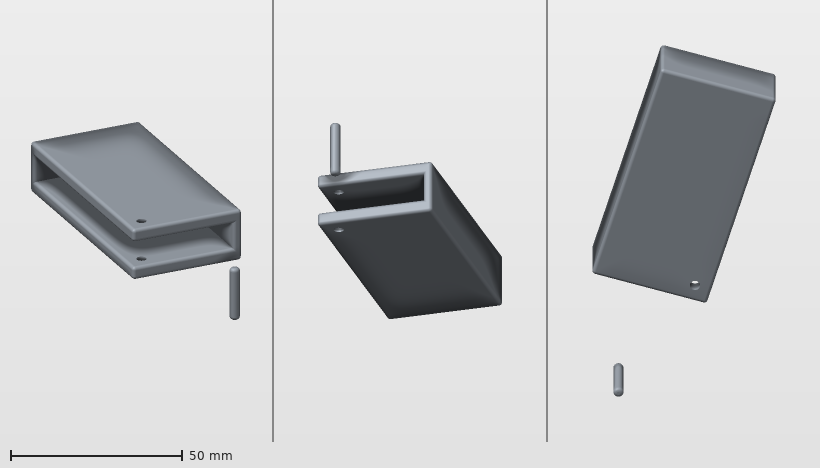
import cadquery as cq


OVERALL_LENGTH = 107.6
CASE_LENGTH = 71.0
CASE_WIDTH = 35.1
CASE_HEIGHT = 16.0
PLATE_THICKNESS = 4.0
WALL_THICKNESS = 2.7
EDGE_RADIUS = 1.0
PIN_DIAMETER = 3.0
HOLE_INSET = 5.1
PIN_LENGTH = 16.5
PIN_AXIS_Y = 16.4
PIN_DROP = 1.3

HOLE_AXIS_X = CASE_LENGTH - HOLE_INSET
HOLE_AXIS_Y = HOLE_INSET
PIN_AXIS_X = OVERALL_LENGTH - PIN_DIAMETER / 2


def make_case():
    """Round-edged case, open along its front side and one end, with pin holes in both plates."""
    case = cq.Workplane("XY").box(CASE_LENGTH, CASE_WIDTH, CASE_HEIGHT, centered=False)

    cavity = cq.Workplane("XY", origin=(WALL_THICKNESS, 0, PLATE_THICKNESS)).box(
        CASE_LENGTH - WALL_THICKNESS,
        CASE_WIDTH - WALL_THICKNESS,
        CASE_HEIGHT - 2 * PLATE_THICKNESS,
        centered=False,
    )
    case = case.cut(cavity)

    outer_faces = case.faces("<X or >X or <Y or >Y or <Z or >Z")
    case = outer_faces.edges().fillet(EDGE_RADIUS)

    pin_hole = (
        cq.Workplane("XY")
        .center(HOLE_AXIS_X, HOLE_AXIS_Y)
        .circle(PIN_DIAMETER / 2)
        .extrude(CASE_HEIGHT)
    )
    return case.cut(pin_hole)


def make_pin():
    """Loose round pin with rounded ends, standing upright beyond the open end of the case."""
    pin = (
        cq.Workplane("XY", origin=(PIN_AXIS_X, PIN_AXIS_Y, -PIN_DROP))
        .circle(PIN_DIAMETER / 2)
        .extrude(PIN_LENGTH)
    )
    return pin.faces("<Z or >Z").edges().fillet(EDGE_RADIUS)


case = make_case()
pin = make_pin()

result = cq.Compound.makeCompound([case.val(), pin.val()])